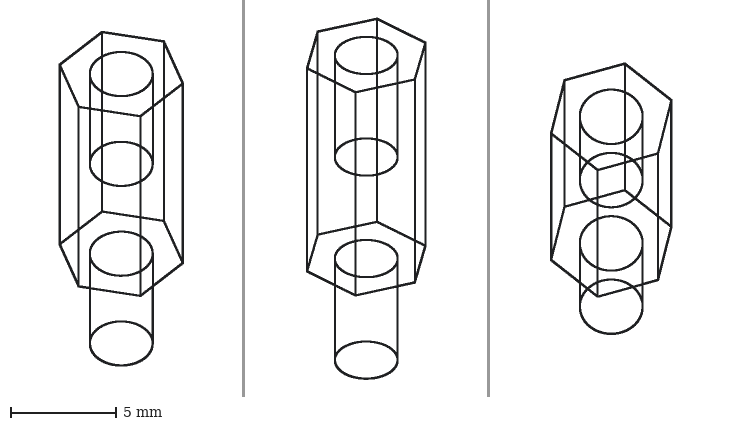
import cadquery as cq

across_flats = 5.2
across_corners = 6.02
body_length = 12.0
thread_diameter = 3.0
stud_length = 6.0
bore_depth = stud_length


def hex_body():
    """Hexagonal prism standing on the XY plane, with flats facing +X and -X."""
    half_width = across_flats / 2
    corner_y = across_corners / 2
    flat_end_y = across_corners / 4
    corners = [
        (0, corner_y),
        (-half_width, flat_end_y),
        (-half_width, -flat_end_y),
        (0, -corner_y),
        (half_width, -flat_end_y),
        (half_width, flat_end_y),
    ]
    return cq.Workplane("XY").polyline(corners).close().extrude(body_length)


def add_stud(body):
    """Plain cylindrical stud hanging below the body."""
    stud = cq.Workplane("XY").circle(thread_diameter / 2).extrude(-stud_length)
    return body.union(stud)


def cut_bore(body):
    """Flat-bottomed blind bore in the top face."""
    return body.faces(">Z").workplane().circle(thread_diameter / 2).cutBlind(-bore_depth)


result = cut_bore(add_stud(hex_body()))